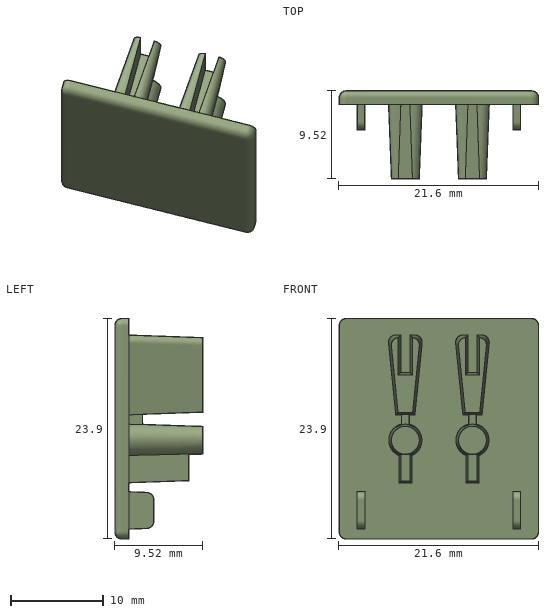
import cadquery as cq
import math

PLATE_WIDTH = 21.59
PLATE_HEIGHT = 23.88
PLATE_THICKNESS = 1.5
CORNER_ROUNDING = 0.79
RIM_ROUNDING = 0.76

PLUG_LENGTH = 8.02
PLUG_SPACING = 7.25
DRAFT_ANGLE = 2.0

BLADE_TOP = 10.15
BLADE_BOTTOM = 1.5
BLADE_TOP_WIDTH = 3.82
BLADE_BOTTOM_WIDTH = 2.08
BLADE_ROUNDING = 0.8
SLOT_WIDTH = 0.98
SLOT_BOTTOM = 6.11
SLOT_TIP_GROWTH = PLUG_LENGTH * math.tan(math.radians(DRAFT_ANGLE))

PIN_DIAMETER = 3.58
PIN_Z = -1.25

RIB_WIDTH = 1.4
RIB_LENGTH = 6.5
RIB_BOTTOM = -5.85

NECK_WIDTH = 0.88
NECK_LENGTH = 1.5
NECK_OVERLAP = 0.95

TAB_SPACING = 16.85
TAB_WIDTH = 0.84
TAB_LENGTH = 2.72
TAB_TOP = -6.8
TAB_BOTTOM = -10.87
TAB_END_INSET = 0.1
TAB_ROUNDING = 0.8


def make_plate():
    """Rectangular plate with rounded corners and a rounded outer (+Y) rim."""
    plate = (
        cq.Workplane("XZ")
        .rect(PLATE_WIDTH, PLATE_HEIGHT)
        .extrude(-PLATE_THICKNESS)
        .edges("|Y")
        .fillet(CORNER_ROUNDING)
    )
    return plate.faces(">Y").edges().fillet(RIM_ROUNDING)


def drafted_bar(x, width, bottom, top, length):
    """Rectangular bar that starts at the plate and narrows toward its tip."""
    return (
        cq.Workplane("XZ")
        .center(x, (bottom + top) / 2)
        .rect(width, top - bottom)
        .extrude(length, taper=DRAFT_ANGLE)
    )


def make_slot(x):
    """Slot cutter, widest at the blade tip and narrowing toward the plate."""
    bottom = SLOT_BOTTOM - SLOT_TIP_GROWTH
    top = BLADE_TOP + SLOT_TIP_GROWTH
    return (
        cq.Workplane("XZ", origin=(x, -PLUG_LENGTH, (bottom + top) / 2))
        .rect(SLOT_WIDTH + 2 * SLOT_TIP_GROWTH, top - bottom)
        .extrude(-PLUG_LENGTH, taper=DRAFT_ANGLE)
    )


def make_blade(x):
    """Wedge-shaped blade with rounded top corners and a slot open at the top."""
    blade = (
        cq.Workplane("XZ")
        .center(x, 0)
        .polyline([
            (-BLADE_BOTTOM_WIDTH / 2, BLADE_BOTTOM),
            (BLADE_BOTTOM_WIDTH / 2, BLADE_BOTTOM),
            (BLADE_TOP_WIDTH / 2, BLADE_TOP),
            (-BLADE_TOP_WIDTH / 2, BLADE_TOP),
        ])
        .close()
        .extrude(PLUG_LENGTH, taper=DRAFT_ANGLE)
    )
    top_corners = blade.faces(">Z").edges("not |X")
    blade = top_corners.fillet(BLADE_ROUNDING)
    return blade.cut(make_slot(x))


def make_pin(x):
    """Round pin that narrows toward its tip."""
    return (
        cq.Workplane("XZ")
        .center(x, PIN_Z)
        .circle(PIN_DIAMETER / 2)
        .extrude(PLUG_LENGTH, taper=DRAFT_ANGLE)
    )


def make_plug(x):
    """Blade, neck, pin and rib in one upright row."""
    neck = drafted_bar(x, NECK_WIDTH, PIN_Z, BLADE_BOTTOM + NECK_OVERLAP, NECK_LENGTH)
    rib = drafted_bar(x, RIB_WIDTH, RIB_BOTTOM, PIN_Z, RIB_LENGTH)
    return make_blade(x).union(neck).union(make_pin(x)).union(rib)


def make_tab(x):
    """Flat tab, slightly narrower at its free end, with rounded end corners."""
    return (
        cq.Workplane("YZ", origin=(x, 0, 0))
        .polyline([
            (0, TAB_BOTTOM),
            (-TAB_LENGTH, TAB_BOTTOM + TAB_END_INSET),
            (-TAB_LENGTH, TAB_TOP - TAB_END_INSET),
            (0, TAB_TOP),
        ])
        .close()
        .extrude(TAB_WIDTH / 2, both=True)
        .faces("<Y")
        .edges("|X")
        .fillet(TAB_ROUNDING)
    )


cover = make_plate()
for side in (-1, 1):
    cover = cover.union(make_plug(side * PLUG_SPACING / 2))
    cover = cover.union(make_tab(side * TAB_SPACING / 2))

result = cq.Compound.makeCompound([cover.val()])